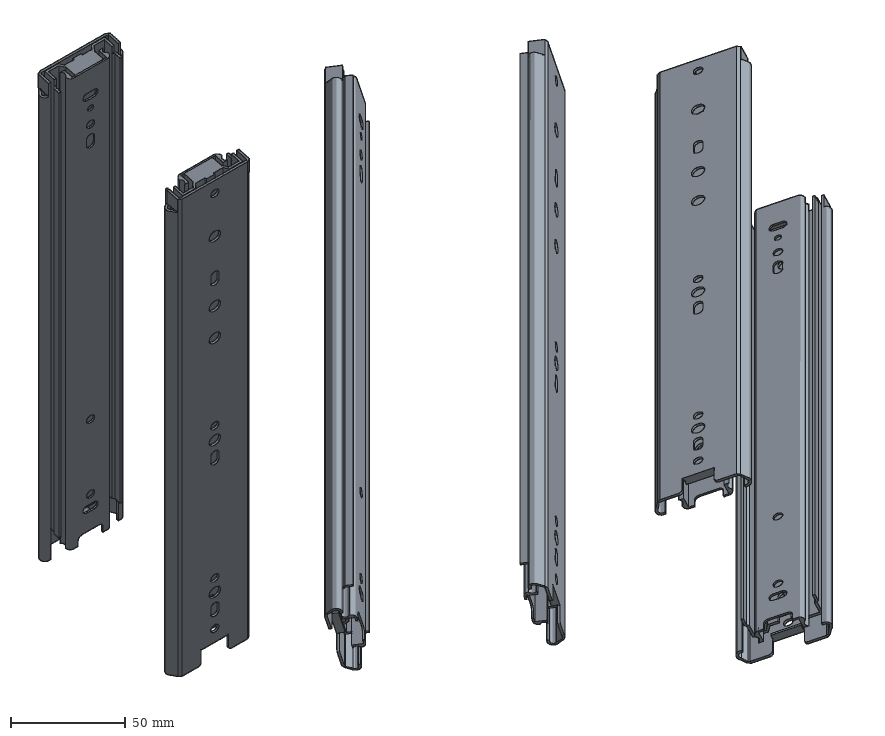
import cadquery as cq
import math


LENGTH = 300.0
PAIR_WIDTH = 100.0
HALF_HEIGHT = 22.8
SHEET = 1.2
INNER_SHEET = 1.0
SLIDE_DEPTH = 12.5

OUTER_WEB_HALF = 18.3
BEND_X = 1.0
BEND_Y = 19.8
OUTER_LIP_X = 8.5
OUTER_LIP_END = 19.0
HOOK_RADIUS = 2.7
HOOK_X = OUTER_LIP_X - HOOK_RADIUS
HOOK_Y = HALF_HEIGHT - HOOK_RADIUS
HOOK_START_RATIO = 0.8
FLANGE_TOP_Z = 291.5
FLAT_END_Y = 20.0
OUTER_NOTCH_WIDTH = 15.3
OUTER_TAB_WIDTH = 14.5
OUTER_NOTCH_TOP = 9.5
OUTER_NOTCH_CORNER = 1.8
OUTER_TAB_END_X = 4.0

MIDDLE_BOTTOM = 16.0
MIDDLE_WEB_X = 1.5
MIDDLE_CENTRE_X = 4.2
JOGGLE_START = 9.3
JOGGLE_END = 7.5
MIDDLE_RACE_Y = 16.8
MIDDLE_LIP_Y = 17.7
MIDDLE_STEP_X = 8.0
MIDDLE_STEP_RUN = 1.0
MIDDLE_LIP_TOP = 295.8
MIDDLE_NOTCH_WIDTH = 6.0
MIDDLE_NOTCH_TOP = 19.8

STOP_BOTTOM = 292.0
STOP_X = 4.0
STOP_END_X = SLIDE_DEPTH - INNER_SHEET
STOP_WIDTH = 16.0
STOP_KEY_X = 3.0
STOP_KEY_WIDTH = 4.8

INNER_BOTTOM = 4.0
INNER_HALF = 12.0
INNER_WALL_Y = 9.5
INNER_EDGE_X = 6.3
INNER_CORNER = 2.7
GROOVE_DEPTH = 1.2
INNER_NOTCH_WIDTH = 13.8
INNER_NOTCH_TOP = 10.0
INNER_NOTCH_CORNER = 2.5

SMALL_HOLE = 3.3
MEDIUM_HOLE = 4.5
LARGE_HOLE = 6.3
SLOT_LENGTH = 8.5

UPPER_SIGHT_Z = 265.0
LOWER_SIGHT_Z = 32.5
OUTER_LARGE_Z = [UPPER_SIGHT_Z, 221.0, 201.0, 136.8, 41.0]
OUTER_MEDIUM_Z = [292.0, 145.8, 50.0, 18.3]
OUTER_SLOT_Z = [238.5, 125.7, 30.3]
INNER_MEDIUM_Z = [UPPER_SIGHT_Z, 79.5, LOWER_SIGHT_Z]
INNER_SMALL_Z = [275.0]
INNER_CROSS_SLOT_Z = [283.2, 24.0]
INNER_LONG_SLOT_Z = 254.5


def box(x0, x1, width, z0, z1):
    """Box centred on Y, between two depths and two heights."""
    block = cq.Workplane("XY").box(x1 - x0, width, z1 - z0, centered=(False, True, False))
    return block.translate((x0, 0, z0))


def round_holes(diameter, heights):
    """Round cutters along the depth of the slide, on its centre line."""
    centres = [(0, z) for z in heights]
    return cq.Workplane("YZ").pushPoints(centres).circle(diameter / 2).extrude(SLIDE_DEPTH)


def slots(heights, angle):
    """Slot cutters; an angle of 90 runs along the slide and 0 runs across it."""
    centres = [(0, z) for z in heights]
    return cq.Workplane("YZ").pushPoints(centres).slot2D(SLOT_LENGTH, MEDIUM_HOLE, angle).extrude(SLIDE_DEPTH)


def end_notch(width, top, corner):
    """Cutter with rounded upper corners that opens the bottom end of a web."""
    return box(0, SLIDE_DEPTH, width, -corner, top).edges("|X and >Z").fillet(corner)


def both_flanges(half):
    """The half section on +Y joined with its mirror image on -Y."""
    return half.union(half.mirror("XZ"))


def hook_outline(radius, inset):
    """Start, crown and end of an arc of the outer member's flange, its end set in from the lip face."""
    start_dx = HOOK_START_RATIO * radius
    start_dy = math.sqrt(radius ** 2 - start_dx ** 2)
    start = (HOOK_X - start_dx, HOOK_Y + start_dy)
    crown = (HOOK_X, HOOK_Y + radius)
    end = (OUTER_LIP_X - inset, HOOK_Y)
    return start, crown, end


def outer_member():
    start, crown, end = hook_outline(HOOK_RADIUS, 0)
    inner_start, inner_crown, inner_end = hook_outline(HOOK_RADIUS - SHEET, SHEET)
    half = (
        cq.Workplane("XY")
        .moveTo(0, 0)
        .lineTo(0, OUTER_WEB_HALF)
        .lineTo(BEND_X, BEND_Y)
        .lineTo(*start)
        .threePointArc(crown, end)
        .lineTo(OUTER_LIP_X, OUTER_LIP_END)
        .lineTo(OUTER_LIP_X - SHEET, OUTER_LIP_END)
        .lineTo(*inner_end)
        .threePointArc(inner_crown, inner_start)
        .lineTo(BEND_X + SHEET / 2, BEND_Y - SHEET / 2)
        .lineTo(SHEET, OUTER_WEB_HALF)
        .lineTo(SHEET, 0)
        .close()
        .extrude(LENGTH)
    )
    body = both_flanges(half)

    full_section = box(0, SLIDE_DEPTH, 2 * HALF_HEIGHT, 0, FLANGE_TOP_Z)
    flat_section = box(0, SLIDE_DEPTH, 2 * FLAT_END_Y, FLANGE_TOP_Z, LENGTH)
    body = body.intersect(full_section.union(flat_section))
    strips = box(BEND_X, OUTER_LIP_X, 2 * FLAT_END_Y, FLANGE_TOP_Z, LENGTH)
    strips = strips.cut(box(0, SLIDE_DEPTH, 2 * OUTER_LIP_END, FLANGE_TOP_Z, LENGTH))
    body = body.union(strips)

    mouth = box(0, SHEET, OUTER_NOTCH_WIDTH + 2 * OUTER_NOTCH_CORNER, 0, OUTER_NOTCH_CORNER)
    for side in (1, -1):
        rounding_y = side * (OUTER_NOTCH_WIDTH / 2 + OUTER_NOTCH_CORNER)
        rounding = (
            cq.Workplane("YZ")
            .center(rounding_y, OUTER_NOTCH_CORNER)
            .circle(OUTER_NOTCH_CORNER)
            .extrude(SHEET)
        )
        mouth = mouth.cut(rounding)
    body = body.cut(mouth).cut(box(0, SHEET, OUTER_NOTCH_WIDTH, 0, OUTER_NOTCH_TOP))
    body = body.union(box(0, OUTER_TAB_END_X, OUTER_TAB_WIDTH, OUTER_NOTCH_TOP, OUTER_NOTCH_TOP + SHEET))

    body = body.cut(round_holes(LARGE_HOLE, OUTER_LARGE_Z))
    body = body.cut(round_holes(MEDIUM_HOLE, OUTER_MEDIUM_Z))
    return body.cut(slots(OUTER_SLOT_Z, 90))


def middle_member():
    step_end_x = MIDDLE_STEP_X + MIDDLE_STEP_RUN
    half = (
        cq.Workplane("XY")
        .polyline(
            [
                (MIDDLE_CENTRE_X, 0),
                (MIDDLE_CENTRE_X, JOGGLE_END),
                (MIDDLE_WEB_X, JOGGLE_START),
                (MIDDLE_WEB_X, MIDDLE_RACE_Y),
                (MIDDLE_STEP_X, MIDDLE_RACE_Y),
                (step_end_x, MIDDLE_LIP_Y),
                (SLIDE_DEPTH, MIDDLE_LIP_Y),
                (SLIDE_DEPTH, MIDDLE_LIP_Y - SHEET),
                (step_end_x, MIDDLE_LIP_Y - SHEET),
                (MIDDLE_STEP_X, MIDDLE_RACE_Y - SHEET),
                (MIDDLE_WEB_X + SHEET, MIDDLE_RACE_Y - SHEET),
                (MIDDLE_WEB_X + SHEET, JOGGLE_START + SHEET / 2),
                (MIDDLE_CENTRE_X + SHEET, JOGGLE_END + SHEET / 2),
                (MIDDLE_CENTRE_X + SHEET, 0),
            ]
        )
        .close()
        .extrude(LENGTH - MIDDLE_BOTTOM)
        .translate((0, 0, MIDDLE_BOTTOM))
    )
    body = both_flanges(half)
    body = body.cut(box(MIDDLE_STEP_X, SLIDE_DEPTH, 2 * MIDDLE_LIP_Y, MIDDLE_LIP_TOP, LENGTH))
    body = body.cut(box(0, SLIDE_DEPTH, MIDDLE_NOTCH_WIDTH, MIDDLE_BOTTOM, MIDDLE_NOTCH_TOP))

    body = body.union(box(STOP_X, STOP_END_X, STOP_WIDTH, STOP_BOTTOM, LENGTH))
    body = body.union(box(STOP_KEY_X, STOP_X, STOP_KEY_WIDTH, STOP_BOTTOM, LENGTH))

    return body.cut(round_holes(LARGE_HOLE, [UPPER_SIGHT_Z, LOWER_SIGHT_Z]))


def inner_member():
    web_x = SLIDE_DEPTH - INNER_SHEET
    groove_end_x = SLIDE_DEPTH - INNER_CORNER
    groove_x = (INNER_EDGE_X + groove_end_x) / 2
    half = (
        cq.Workplane("XY")
        .moveTo(SLIDE_DEPTH, 0)
        .lineTo(SLIDE_DEPTH, INNER_HALF - INNER_CORNER)
        .radiusArc((groove_end_x, INNER_HALF), -INNER_CORNER)
        .threePointArc((groove_x, INNER_HALF - GROOVE_DEPTH), (INNER_EDGE_X, INNER_HALF))
        .lineTo(INNER_EDGE_X, INNER_WALL_Y)
        .lineTo(web_x, INNER_WALL_Y)
        .lineTo(web_x, 0)
        .close()
        .extrude(LENGTH - INNER_BOTTOM)
        .translate((0, 0, INNER_BOTTOM))
    )
    body = both_flanges(half)
    body = body.cut(end_notch(INNER_NOTCH_WIDTH, INNER_NOTCH_TOP, INNER_NOTCH_CORNER))
    body = body.cut(round_holes(SMALL_HOLE, INNER_SMALL_Z))
    body = body.cut(round_holes(MEDIUM_HOLE, INNER_MEDIUM_Z))
    body = body.cut(slots(INNER_CROSS_SLOT_Z, 0))
    return body.cut(slots([INNER_LONG_SLOT_Z], 90))


bodies = []
for member in (outer_member(), middle_member(), inner_member()):
    left = member.translate((-PAIR_WIDTH / 2, 0, 0))
    right = left.mirror("YZ")
    bodies.append(left.solids().val())
    bodies.append(right.solids().val())

result = cq.Compound.makeCompound(bodies)